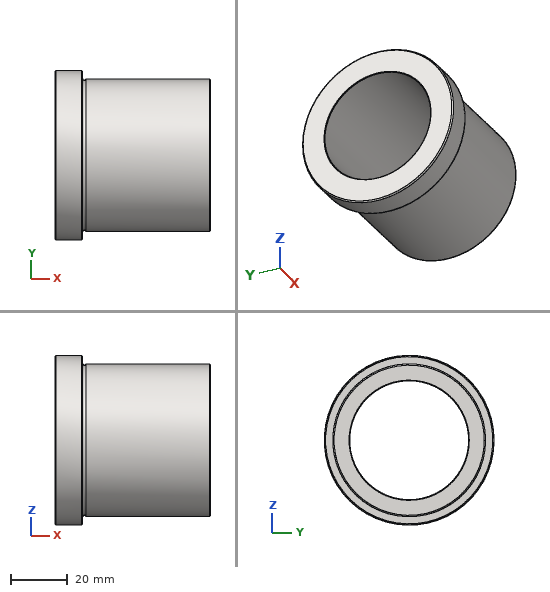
import cadquery as cq

total_length = 55.0
flange_diameter = 60.0
flange_length = 9.85
body_diameter = 54.0
bore_diameter = 42.0
edge_chamfer = 0.5
bore_chamfer = 0.25
groove_width = 1.2
groove_depth = 0.5

flange_radius = flange_diameter / 2
body_radius = body_diameter / 2
bore_radius = bore_diameter / 2
flange_start = -total_length / 2
flange_end = flange_start + flange_length
body_end = total_length / 2
groove_end = flange_end + groove_width
groove_middle = flange_end + groove_width / 2

half_section = (
    cq.Workplane("XY")
    .moveTo(flange_start, bore_radius + bore_chamfer)
    .lineTo(flange_start, flange_radius - edge_chamfer)
    .lineTo(flange_start + edge_chamfer, flange_radius)
    .lineTo(flange_end - edge_chamfer, flange_radius)
    .lineTo(flange_end, flange_radius - edge_chamfer)
    .lineTo(flange_end, body_radius)
    .threePointArc((groove_middle, body_radius - groove_depth), (groove_end, body_radius))
    .lineTo(body_end - edge_chamfer, body_radius)
    .lineTo(body_end, body_radius - edge_chamfer)
    .lineTo(body_end, bore_radius + bore_chamfer)
    .lineTo(body_end - bore_chamfer, bore_radius)
    .lineTo(flange_start + bore_chamfer, bore_radius)
    .close()
)

result = half_section.revolve(360, (0, 0, 0), (1, 0, 0))